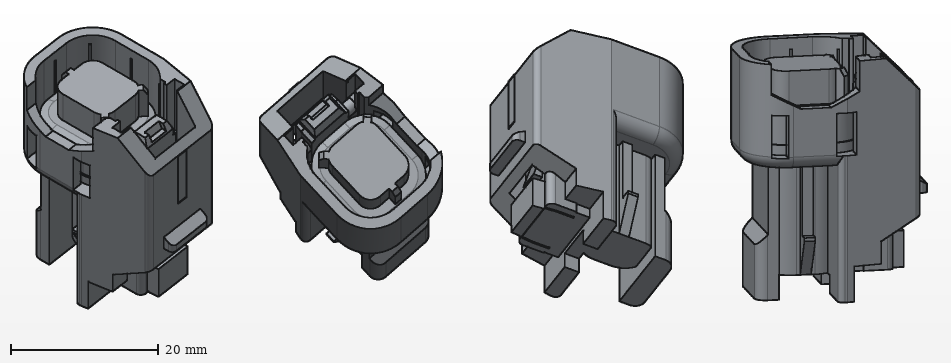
import cadquery as cq
HALF_WIDTH = 8.6
HOOD_TOP = 33.58
HOOD_BOTTOM = 18.85
HOOD_NOSE_RADIUS = 6.17
HOOD_BOTTOM_FILLET = 1.85
TAPER_START_X = 13.62

PLATE_FRONT_X = 12.47
PLATE_REAR_X = 14.7
PLATE_CORNER_RADIUS = 0.8
PLATE_GAP_HALF_WIDTH = 2.63
REAR_X = 24.3
REAR_HALF_WIDTH = 6.75
REAR_CORNER_RADIUS = 0.95
REAR_CHAMFER = 5.0
REAR_SLOPE_TOP = 11.25
STEP_X = 18.55
STEP_SLOPE_BOTTOM = 8.1
STEP_BOTTOM = 4.95

WALL = 1.55
CAVITY_END_X = 16.85
CAVITY_RADIUS = 4.7
CAVITY_FLOOR = 26.85
GAP_FLOOR = 20.5
SLEEVE_START_X = 2.02
SLEEVE_END_X = 16.4
SLEEVE_HALF_WIDTH = 6.4
SLEEVE_RADIUS = 4.38
SLEEVE_BEVEL = 1.08
SLEEVE_BEVEL_DROP = 0.25
SLEEVE_FOOT_TOP = 21.9
SLEEVE_FOOT_STEP = 0.27
THROAT_START_X = 15.47
THROAT_HALF_WIDTH = 5.2

CORE_START_X = 4.5
CORE_END_X = 14.1
CORE_HALF_WIDTH = 4.15
CORE_RADIUS = 2.02
CORE_TOP = 31.65
KEY_WIDTH = 1.08
CORNER_KEY_ANGLE = 45
KEY_REACH = 1.28
KEY_CHAMFER = 0.67
KEY_CHAMFER_DROP = 0.98

RIB_WIDTH = 0.3
RIB_TOP = 32.0

NOTCH_START_X = 3.27
NOTCH_END_X = 15.47
NOTCH_FLAT_START_X = 7.25
NOTCH_FLAT_END_X = 11.4
NOTCH_SIDE_Z = 29.33
NOTCH_FLOOR_Z = 27.35
SLOT_TOP = 26.45
SLOT_SPANS = [(3.35, 5.53), (12.2, 15.0)]

LEG_FRONT_X = 3.4
LEG_REAR_X = 4.92
LEG_HALF_WIDTH = 5.12
PAD_FRONT_X = 1.8
PAD_EDGE_TOP = 7.62
PAD_TOP = 9.2
PAD_RADIUS = 1.52

TOWER_BOTTOM = 2.53
TOWER_LOW_Y = -1.82
TOWER_HIGH_Y = 4.38
TOWER_FRONT_X = 3.98
TOWER_REAR_X = 14.63
TOWER_LOW_RADIUS = 4.05
TOWER_HIGH_RADIUS = 2.02
SPINE_LOW_Y = -3.3
SPINE_HIGH_Y = 5.35
CATCH_START_X = 8.55
CATCH_END_X = 10.08
CATCH_TOP = 8.33
CATCH_LIP = 0.47
CATCH_LOW_REACH = 1.28
CATCH_HIGH_REACH = 1.62

WINDOW_START_X = 16.62
WINDOW_END_X = 23.13
WINDOW_TAPER_X = 19.2
WINDOW_HALF_WIDTH = 4.85
WINDOW_END_HALF_WIDTH = 4.18
LEDGE_TOP = 15.5
LEDGE_HALF_WIDTH = 3.6
LEDGE_END_HALF_WIDTH = 3.25
LEDGE_END_X = 22.92

RAIL_BOTTOM = 3.35
RAIL_END_X = 21.05
RAIL_CORNER = 0.95
RAIL_OUTER_Y = 4.65
RAIL_STEP_X = 16.8
RAIL_STEP = 0.15

LEVER_START_X = 17.02
LEVER_HALF_WIDTH = 3.37
LEVER_END_X = 22.72
LEVER_END_HALF_WIDTH = 3.05
LEVER_BOTTOM = 3.25
LEVER_TAB_TOP = 8.33
LEVER_ARM_TOP = 27.65
SHOULDER_END_X = 19.2
SHOULDER_RISE = 0.4
GUSSET_END_X = 21.7
GUSSET_BOTTOM = 10.8
GUSSET_TOP = 15.5
HEAD_END_X = 20.4
HEAD_HALF_WIDTH = 2.73
HEAD_BASE = 28.82
HEAD_TOP = 30.15
HEAD_TAPER_X = 0.75
HEAD_TAPER_Y = 0.47
HEAD_NOTCH_START_X = 18.88
HEAD_NOTCH_FLAT_X = 19.45
HEAD_NOTCH_HALF_WIDTH = 1.5
HEAD_NOTCH_DEPTH = 1.0
PIVOT_RADIUS = 1.0
PIVOT_Z = 24.27

POCKET_START_X = 17.4
POCKET_END_X = 19.15
POCKET_OUTER_Y = 6.47

FINGER_END_X = 25.92
FINGER_RADIUS = 0.78
FINGER_HALF_WIDTH = 3.8
FINGER_BOTTOM = 13.62
FINGER_TOP = 15.68
FINGER_END_Z = 14.73
REAR_PAD_HEIGHT = 0.1
REAR_PAD_HALF_WIDTH = 0.85
REAR_PAD_BOTTOM = 19.9

NIB_X = 19.2
NIB_Y = -4.92
NIB_SIZE = 0.2
OVERALL_HEIGHT = 33.7

DIAGONAL = 0.5 ** 0.5
REACH_IN = 0.35


def block(x0, x1, y0, y1, z0, z1):
    """Axis-aligned block between two corners."""
    return cq.Workplane("XY").box(x1 - x0, y1 - y0, z1 - z0, centered=False).translate((x0, y0, z0))


def rounded_block(x0, x1, y0, y1, z0, z1, radius):
    return block(x0, x1, y0, y1, z0, z1).edges("|Z").fillet(radius)


def side_profile(points, y0, y1):
    """Extrude an XZ outline from y0 to y1."""
    return cq.Workplane("XZ", origin=(0, y1, 0)).polyline(points).close().extrude(y1 - y0)


def symmetric_prism(half_outline, z0, z1):
    """Extrude the plan given by its +Y half, mirrored about Y = 0."""
    mirrored = [(x, -y) for x, y in reversed(half_outline)]
    return cq.Workplane("XY", origin=(0, 0, z0)).polyline(half_outline + mirrored).close().extrude(z1 - z0)


def make_hood():
    hood = symmetric_prism(
        [(0, HALF_WIDTH), (NOTCH_END_X, HALF_WIDTH)], HOOD_BOTTOM, HOOD_TOP
    )
    hood = hood.edges("|Z and <X").fillet(HOOD_NOSE_RADIUS)
    hood = hood.faces("<Z").edges("not >X").fillet(HOOD_BOTTOM_FILLET)
    return hood.intersect(tapered_plan(0))


def tapered_plan(front_x):
    plan = [
        (front_x, HALF_WIDTH),
        (TAPER_START_X, HALF_WIDTH),
        (REAR_X, REAR_HALF_WIDTH),
    ]
    return symmetric_prism(plan, 0, HOOD_TOP)


def make_rear_housing():
    body = tapered_plan(PLATE_FRONT_X)
    body = body.edges("|Z and >X").fillet(REAR_CORNER_RADIUS)
    body = body.edges("|Z and <X").fillet(PLATE_CORNER_RADIUS)
    profile = [
        (PLATE_FRONT_X, 0),
        (PLATE_REAR_X, 0),
        (PLATE_REAR_X, STEP_BOTTOM),
        (STEP_X, STEP_BOTTOM),
        (STEP_X, STEP_SLOPE_BOTTOM),
        (REAR_X, REAR_SLOPE_TOP),
        (REAR_X, HOOD_TOP - REAR_CHAMFER),
        (REAR_X - REAR_CHAMFER, HOOD_TOP),
        (PLATE_FRONT_X, HOOD_TOP),
    ]
    foot_gap = block(
        PLATE_FRONT_X, PLATE_REAR_X, -PLATE_GAP_HALF_WIDTH, PLATE_GAP_HALF_WIDTH, 0, TOWER_BOTTOM
    )
    return body.intersect(side_profile(profile, -HALF_WIDTH, HALF_WIDTH)).cut(foot_gap)


def make_sleeve():
    """Bevelled sleeve around the core, with a slightly wider foot."""
    sleeve = rounded_block(
        SLEEVE_START_X, SLEEVE_END_X, -SLEEVE_HALF_WIDTH, SLEEVE_HALF_WIDTH,
        GAP_FLOOR, CAVITY_FLOOR, SLEEVE_RADIUS,
    )
    sleeve = sleeve.faces(">Z").chamfer(SLEEVE_BEVEL_DROP, SLEEVE_BEVEL)
    foot_half_width = SLEEVE_HALF_WIDTH + SLEEVE_FOOT_STEP
    foot = rounded_block(
        SLEEVE_START_X - SLEEVE_FOOT_STEP, SLEEVE_END_X + SLEEVE_FOOT_STEP, -foot_half_width, foot_half_width,
        GAP_FLOOR, SLEEVE_FOOT_TOP, SLEEVE_RADIUS + SLEEVE_FOOT_STEP,
    )
    return sleeve.union(foot)


def make_cavity():
    """Space around the sleeve, with a throat that opens into the rear window."""
    inner_y = HALF_WIDTH - WALL
    cavity = rounded_block(WALL, CAVITY_END_X, -inner_y, inner_y, GAP_FLOOR, HOOD_TOP, CAVITY_RADIUS)
    throat = block(
        THROAT_START_X, CAVITY_END_X, -THROAT_HALF_WIDTH, THROAT_HALF_WIDTH, GAP_FLOOR, HOOD_TOP
    )
    return cavity.union(throat).cut(make_sleeve())


def make_key():
    """Chamfered key pointing along +X from the origin."""
    drop_z = CORE_TOP - KEY_CHAMFER_DROP
    tip = KEY_REACH - KEY_CHAMFER
    profile = [
        (-REACH_IN, CAVITY_FLOOR - REACH_IN),
        (KEY_REACH, CAVITY_FLOOR - REACH_IN),
        (KEY_REACH, drop_z),
        (tip, CORE_TOP),
        (-REACH_IN, CORE_TOP),
    ]
    return side_profile(profile, -KEY_WIDTH / 2, KEY_WIDTH / 2)


def make_core():
    core = rounded_block(
        CORE_START_X, CORE_END_X, -CORE_HALF_WIDTH, CORE_HALF_WIDTH,
        CAVITY_FLOOR - REACH_IN, CORE_TOP, CORE_RADIUS,
    )
    core = core.union(make_key().rotate((0, 0, 0), (0, 0, 1), 180).translate((CORE_START_X, 0, 0)))
    corner_inset = CORE_RADIUS * (1 - DIAGONAL)
    for side in (1, -1):
        key = make_key().rotate((0, 0, 0), (0, 0, 1), CORNER_KEY_ANGLE * side)
        key = key.translate((CORE_END_X - corner_inset, side * (CORE_HALF_WIDTH - corner_inset), 0))
        core = core.union(key)
    return core


def make_wall_ribs():
    """Thin upright ribs on the +Y and nose walls of the cavity."""
    inner_y = HALF_WIDTH - WALL
    middle_x = (WALL + CAVITY_END_X) / 2
    diagonal = CAVITY_RADIUS * DIAGONAL
    corner_y = inner_y - CAVITY_RADIUS + diagonal
    spots = [
        (middle_x, inner_y),
        (WALL, 0),
        (WALL + CAVITY_RADIUS - diagonal, corner_y),
        (CAVITY_END_X - CAVITY_RADIUS + diagonal, corner_y),
    ]
    ribs = cq.Workplane("XY", origin=(0, 0, GAP_FLOOR)).pushPoints(spots).circle(RIB_WIDTH / 2)
    return ribs.extrude(RIB_TOP - GAP_FLOOR)


def make_wall_openings():
    """Notch in the rim and the two side slots of the -Y hood wall."""
    profile = [
        (NOTCH_START_X, HOOD_TOP),
        (NOTCH_START_X, NOTCH_SIDE_Z),
        (NOTCH_FLAT_START_X, NOTCH_FLOOR_Z),
        (NOTCH_FLAT_END_X, NOTCH_FLOOR_Z),
        (NOTCH_END_X, NOTCH_SIDE_Z),
        (NOTCH_END_X, HOOD_TOP),
    ]
    openings = side_profile(profile, -HALF_WIDTH, -WINDOW_HALF_WIDTH)
    sleeve = make_sleeve()
    for start_x, end_x in SLOT_SPANS:
        slot = block(start_x, end_x, -HALF_WIDTH, -WINDOW_HALF_WIDTH, GAP_FLOOR, SLOT_TOP)
        openings = openings.union(slot.cut(sleeve))
    return openings


def make_front_leg():
    leg = block(LEG_FRONT_X, LEG_REAR_X, -LEG_HALF_WIDTH, LEG_HALF_WIDTH, 0, HOOD_BOTTOM + REACH_IN)
    pad = block(PAD_FRONT_X, LEG_REAR_X, -LEG_HALF_WIDTH, LEG_HALF_WIDTH, 0, PAD_TOP)
    pad = pad.edges("|Z and <X").fillet(PAD_RADIUS)
    profile = [
        (PAD_FRONT_X, 0),
        (LEG_REAR_X, 0),
        (LEG_REAR_X, PAD_TOP),
        (LEG_FRONT_X, PAD_TOP),
        (PAD_FRONT_X, PAD_EDGE_TOP),
    ]
    return leg.union(pad.intersect(side_profile(profile, -LEG_HALF_WIDTH, LEG_HALF_WIDTH)))


def make_spine(wall_y, face_y, reach):
    """Upright spine from a tower wall to face_y, ending in a barbed catch; a negative reach points to -Y."""
    profile = [
        (wall_y, HOOD_BOTTOM + REACH_IN),
        (face_y, HOOD_BOTTOM + REACH_IN),
        (face_y, CATCH_TOP),
        (face_y + reach, CATCH_TOP),
        (face_y + reach, CATCH_TOP - CATCH_LIP),
        (wall_y, TOWER_BOTTOM),
    ]
    spine = cq.Workplane("YZ", origin=(CATCH_START_X, 0, 0)).polyline(profile).close()
    return spine.extrude(CATCH_END_X - CATCH_START_X)


def make_tower():
    tower = block(
        TOWER_FRONT_X, TOWER_REAR_X, TOWER_LOW_Y, TOWER_HIGH_Y, TOWER_BOTTOM, HOOD_BOTTOM + REACH_IN
    )
    tower = tower.edges("|Z and <Y").fillet(TOWER_LOW_RADIUS)
    tower = tower.edges("|Z and >Y").fillet(TOWER_HIGH_RADIUS)
    tower = tower.union(make_spine(TOWER_LOW_Y, SPINE_LOW_Y, -CATCH_LOW_REACH))
    return tower.union(make_spine(TOWER_HIGH_Y, SPINE_HIGH_Y, CATCH_HIGH_REACH))


def make_window():
    """Opening through the rear housing, narrower below the ledge."""
    upper = [
        (WINDOW_START_X, WINDOW_HALF_WIDTH),
        (WINDOW_TAPER_X, WINDOW_HALF_WIDTH),
        (WINDOW_END_X, WINDOW_END_HALF_WIDTH),
    ]
    lower = [
        (WINDOW_START_X, LEDGE_HALF_WIDTH),
        (WINDOW_TAPER_X, LEDGE_HALF_WIDTH),
        (LEDGE_END_X, LEDGE_END_HALF_WIDTH),
    ]
    return symmetric_prism(upper, LEDGE_TOP, HOOD_TOP).union(symmetric_prism(lower, 0, LEDGE_TOP))


def make_guard_rails():
    rails = block(
        PLATE_REAR_X - REACH_IN, RAIL_END_X, -RAIL_OUTER_Y, RAIL_OUTER_Y, RAIL_BOTTOM, REAR_SLOPE_TOP
    )
    rails = rails.edges("|Z and >X").fillet(RAIL_CORNER)
    for side in (1, -1):
        step_y = sorted((side * (RAIL_OUTER_Y - RAIL_STEP), side * HALF_WIDTH))
        rails = rails.cut(block(PLATE_REAR_X, RAIL_STEP_X, *step_y, RAIL_BOTTOM, STEP_BOTTOM))
    return rails


def make_pivot_pockets():
    pockets = cq.Workplane("XY")
    for side in (1, -1):
        y_span = sorted((side * (WINDOW_HALF_WIDTH - REACH_IN), side * POCKET_OUTER_Y))
        pockets = pockets.union(block(POCKET_START_X, POCKET_END_X, *y_span, PIVOT_Z, HOOD_TOP))
    return pockets


def make_lever_head():
    middle_x = (LEVER_START_X + HEAD_END_X) / 2
    length = HEAD_END_X - LEVER_START_X
    base = cq.Workplane("XY", origin=(middle_x, 0, HEAD_BASE)).rect(length, 2 * HEAD_HALF_WIDTH)
    head = base.workplane(offset=HEAD_TOP - HEAD_BASE).rect(
        length - 2 * HEAD_TAPER_X, 2 * (HEAD_HALF_WIDTH - HEAD_TAPER_Y)
    ).loft()
    neck = block(LEVER_START_X, HEAD_END_X, -HEAD_HALF_WIDTH, HEAD_HALF_WIDTH, LEVER_ARM_TOP, HEAD_BASE)
    shoulder_base = LEVER_ARM_TOP - REACH_IN
    shoulder_profile = [
        (-LEVER_HALF_WIDTH, shoulder_base),
        (LEVER_HALF_WIDTH, shoulder_base),
        (LEVER_HALF_WIDTH, LEVER_ARM_TOP),
        (HEAD_HALF_WIDTH, LEVER_ARM_TOP + SHOULDER_RISE),
        (-HEAD_HALF_WIDTH, LEVER_ARM_TOP + SHOULDER_RISE),
        (-LEVER_HALF_WIDTH, LEVER_ARM_TOP),
    ]
    shoulders = cq.Workplane("YZ", origin=(LEVER_START_X, 0, 0)).polyline(shoulder_profile).close()
    shoulders = shoulders.extrude(SHOULDER_END_X - LEVER_START_X)
    notch_profile = [
        (HEAD_NOTCH_START_X, HEAD_TOP),
        (HEAD_NOTCH_FLAT_X, HEAD_TOP - HEAD_NOTCH_DEPTH),
        (HEAD_END_X, HEAD_TOP - HEAD_NOTCH_DEPTH),
        (HEAD_END_X, HEAD_TOP),
    ]
    notch = side_profile(notch_profile, -HEAD_NOTCH_HALF_WIDTH, HEAD_NOTCH_HALF_WIDTH)
    return head.union(neck).union(shoulders).cut(notch)


def make_lever():
    plan = [
        (WINDOW_START_X - REACH_IN, LEVER_HALF_WIDTH),
        (WINDOW_TAPER_X, LEVER_HALF_WIDTH),
        (LEVER_END_X, LEVER_END_HALF_WIDTH),
    ]
    lever = symmetric_prism(plan, LEVER_BOTTOM, LEVER_ARM_TOP)
    profile = [
        (WINDOW_START_X - REACH_IN, LEVER_TAB_TOP),
        (WINDOW_START_X - REACH_IN, RAIL_BOTTOM),
        (RAIL_END_X, RAIL_BOTTOM),
        (RAIL_END_X, LEVER_BOTTOM),
        (LEVER_END_X, LEVER_BOTTOM),
        (LEVER_END_X, LEVER_TAB_TOP),
        (HEAD_END_X, LEVER_TAB_TOP),
        (HEAD_END_X, LEVER_ARM_TOP),
        (LEVER_START_X, LEVER_ARM_TOP),
        (LEVER_START_X, LEVER_TAB_TOP),
    ]
    lever = lever.intersect(side_profile(profile, -LEVER_HALF_WIDTH, LEVER_HALF_WIDTH))
    pivot_reach = WINDOW_HALF_WIDTH + REACH_IN
    pivot = cq.Workplane("XZ", origin=(LEVER_START_X + PIVOT_RADIUS, pivot_reach, PIVOT_Z))
    pivot = pivot.circle(PIVOT_RADIUS).extrude(2 * pivot_reach)
    gusset = side_profile(
        [(HEAD_END_X, GUSSET_BOTTOM), (GUSSET_END_X, GUSSET_BOTTOM), (HEAD_END_X, GUSSET_TOP)],
        -HEAD_NOTCH_HALF_WIDTH, HEAD_NOTCH_HALF_WIDTH,
    )
    return lever.union(pivot).union(gusset).union(make_lever_head())


def make_rear_details():
    profile = [
        (REAR_X - REACH_IN, FINGER_BOTTOM),
        (FINGER_END_X, FINGER_BOTTOM),
        (FINGER_END_X, FINGER_END_Z),
        (REAR_X, FINGER_TOP),
        (REAR_X - REACH_IN, FINGER_TOP),
    ]
    ledge = side_profile(profile, -FINGER_HALF_WIDTH, FINGER_HALF_WIDTH)
    outline = block(
        REAR_X - REACH_IN, FINGER_END_X, -FINGER_HALF_WIDTH, FINGER_HALF_WIDTH, FINGER_BOTTOM, FINGER_TOP
    )
    ledge = ledge.intersect(outline.edges("|Z and >X").fillet(FINGER_RADIUS))
    pad = block(
        REAR_X - REACH_IN, REAR_X + REAR_PAD_HEIGHT, -REAR_PAD_HALF_WIDTH, REAR_PAD_HALF_WIDTH,
        REAR_PAD_BOTTOM, HOOD_TOP - REAR_CHAMFER,
    )
    return ledge.union(pad)


def make_nib():
    return block(
        NIB_X - NIB_SIZE, NIB_X, NIB_Y - NIB_SIZE, NIB_Y, HOOD_TOP - REACH_IN, OVERALL_HEIGHT
    )


housing = make_hood().union(make_rear_housing())
housing = housing.union(make_front_leg()).union(make_tower()).union(make_guard_rails())
housing = housing.cut(make_cavity()).cut(make_wall_openings())
housing = housing.cut(make_window()).cut(make_pivot_pockets())
housing = housing.union(make_core()).union(make_wall_ribs())
result = housing.union(make_lever()).union(make_rear_details()).union(make_nib())